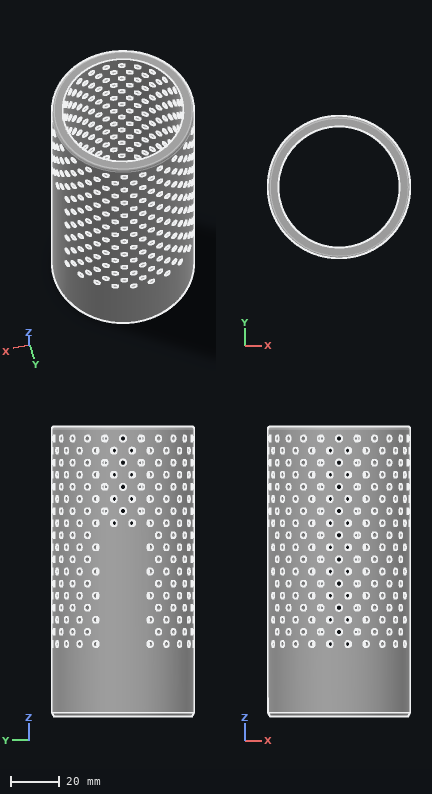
import cadquery as cq

height = 120.0
outer_diameter = 59.0
bore_diameter = 50.0
top_fillet = 1.0
bottom_chamfer_height = 1.7
bottom_chamfer_inset = 1.0

hole_diameter = 2.5
row_count = 18
rows_in_full_height = 24
row_pitch = height / rows_in_full_height
holes_per_row = 24
hole_step = 360 / holes_per_row

full_row_count = 8
plain_half_angle = 20.0

cutter_overlap = 1.2


def make_sleeve():
    """Plain tube with a rounded top rim and a chamfered bottom rim."""
    outer_radius = outer_diameter / 2
    profile = (
        cq.Workplane("XZ")
        .moveTo(bore_diameter / 2, 0)
        .lineTo(outer_radius - bottom_chamfer_inset, 0)
        .lineTo(outer_radius, bottom_chamfer_height)
        .lineTo(outer_radius, height - top_fillet)
        .radiusArc((outer_radius - top_fillet, height), -top_fillet)
        .lineTo(bore_diameter / 2, height)
        .close()
    )
    return profile.revolve(360, (0, 0, 0), (0, 1, 0))


def is_in_plain_strip(angle):
    """True if a direction, in degrees from +X, points into either plain strip."""
    angle_from_x_axis = min(angle % 180, -angle % 180)
    return angle_from_x_axis < plain_half_angle


def hole_angles(row):
    """Directions of the holes in one row; odd rows are turned by half a step."""
    row_offset = (row % 2) * hole_step / 2
    angles = [row_offset + i * hole_step for i in range(holes_per_row)]
    if row < full_row_count:
        return angles
    return [angle for angle in angles if not is_in_plain_strip(angle)]


def make_hole_cutters():
    """Radial pins crossing the wall, one for each hole."""
    start_radius = bore_diameter / 2 - cutter_overlap
    pin_length = outer_diameter / 2 + cutter_overlap - start_radius
    pins = []
    for row in range(row_count):
        z = height - (row + 1) * row_pitch
        pin = cq.Solid.makeCylinder(
            hole_diameter / 2, pin_length, cq.Vector(start_radius, 0, z), cq.Vector(1, 0, 0)
        )
        for angle in hole_angles(row):
            pins.append(pin.rotate(cq.Vector(0, 0, 0), cq.Vector(0, 0, 1), angle))
    return pins


sleeve = make_sleeve().val()
result = cq.Workplane("XY").newObject([sleeve.cut(*make_hole_cutters())])